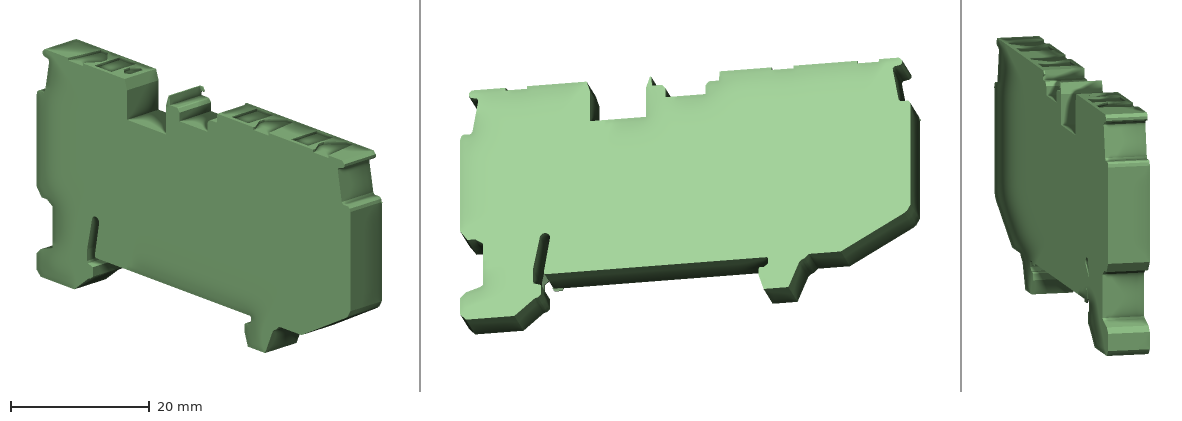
import cadquery as cq
BODY_LENGTH = 66.5
THICKNESS = 6.2
HEIGHT = 35.2
HALF = BODY_LENGTH / 2
FRONT_Y = -THICKNESS / 2
BACK_Y = THICKNESS / 2
SKIN_THICKNESS = 0.2
OVERLAP = 0.2

SHOULDER_Z = 28.5
BASE_Z = 6.05
LEDGE_Z = 33.8
CHANNEL_Z = 31.9
NOTCH_Z = 29.1
LIP_UNDER_Z = 33.55
WAIST_Z = 12.25

LIP_INSET = 1.25
LIP_BEVEL = 0.45
LIP_ROOT_INSET = 2.65
NECK_FOOT_INSET = 1.8
SHOULDER_ROUND_WIDTH = 0.4
SHOULDER_ROUND_DEPTH = 0.7

NOTCH_LEFT = -14.05
NOTCH_RIGHT = -5.8
NOTCH_LEAD_WIDTH = 0.5
NOTCH_LEAD_DEPTH = 1.6
CHANNEL_HALF = 2.9
CHANNEL_BEVEL = 0.6
BEVEL_EASE = 0.2
LEDGE_HALF = 4.9
LEDGE_LEAN = 0.1

SLOT_TOP_LEFT = (-21.5, 11.65)
SLOT_CROWN = (-20.8, 12.4)
SLOT_TOP_RIGHT = (-20.0, 11.65)
SLOT_FOOT_RIGHT = (-20.9, 6.3)
SLOT_FOOT_LEFT = (-22.5, 6.9)
BASE_LEFT = -20.7

STEM_LEFT = -HALF + 3.3
HOOK_TIP = -21.3
HOOK_TOP_Z = 4.65
HOOK_BOTTOM_Z = 3.0
FOOT_BEVEL = 0.85

CLAW_TIP = 10.8
CLAW_BOTTOM_Z = 1.2
CLAW_TOP_Z = 4.6
CLAW_THROAT = 12.2

POCKET_DEPTH = 0.4
SCREW_POCKET_LENGTH = 3.6
SCREW_POCKET_WIDTH = 5.0
SCREW_POCKET_FRONT = FRONT_Y + 0.6
POCKET_GAP = 0.4
POCKET_BACK_MARGIN = 0.5
WIRE_TIPS = [(-22.05, -1), (11.4, 1), (24.05, 1)]


def grip_outline(side):
    """Grip from the top edge down to the side wall; side is -1 left, +1 right."""
    insets = [
        (LIP_INSET + LIP_BEVEL, HEIGHT),
        (LIP_INSET, HEIGHT - LIP_BEVEL),
        (LIP_INSET, 34.35),
        (1.5, 34.1),
        (LIP_ROOT_INSET - 0.2, 33.9),
        (LIP_ROOT_INSET, LIP_UNDER_Z),
        (NECK_FOOT_INSET, SHOULDER_Z + 0.3),
        (NECK_FOOT_INSET - 0.25, SHOULDER_Z),
        (SHOULDER_ROUND_WIDTH, SHOULDER_Z),
        (0.1, SHOULDER_Z - 0.25),
        (0, SHOULDER_Z - SHOULDER_ROUND_DEPTH),
    ]
    return [(side * (HALF - inset), z) for inset, z in insets]


def left_foot_outline():
    """Left wall, stem and hooked foot, ending at the slot."""
    return [
        (-HALF, WAIST_Z + 1.4),
        (-HALF + 1.05, WAIST_Z),
        (-HALF + 2.2, WAIST_Z),
        (STEM_LEFT, WAIST_Z - 0.7),
        (STEM_LEFT, 5.1),
        (STEM_LEFT - 0.4, 4.85),
        (-HALF + 0.8, 4.2),
        (-HALF, 3.4),
        (-HALF, FOOT_BEVEL),
        (-HALF + FOOT_BEVEL, 0),
        (-25.25, 0),
        (-22.25, 2.45),
        (-21.8, 2.6),
        (HOOK_TIP, HOOK_BOTTOM_Z),
        (HOOK_TIP, HOOK_TOP_Z - 0.2),
        (-22.4, HOOK_TOP_Z + 0.1),
        (SLOT_FOOT_LEFT[0], HOOK_TOP_Z + 0.45),
        SLOT_FOOT_LEFT,
        SLOT_TOP_LEFT,
    ]


def right_foot_outline():
    """Underside, right claw and sloped corner, ending at the right wall."""
    return [
        SLOT_FOOT_RIGHT,
        (BASE_LEFT, BASE_Z),
        (CLAW_THROAT - 0.2, BASE_Z),
        (CLAW_THROAT, BASE_Z - 0.2),
        (CLAW_THROAT, CLAW_TOP_Z + 0.5),
        (CLAW_THROAT - 0.6, CLAW_TOP_Z),
        (CLAW_TIP + 0.1, CLAW_TOP_Z),
        (CLAW_TIP, CLAW_TOP_Z - 0.2),
        (CLAW_TIP, 3.4),
        (11.5, CLAW_BOTTOM_Z),
        (15.2, CLAW_BOTTOM_Z),
        (16.8, 4.9),
        (17.1, 5.25),
        (17.6, 5.45),
        (18.2, BASE_Z),
        (22.9, BASE_Z),
        (HALF - 0.9, 11.25),
        (HALF - 0.5, 11.6),
        (HALF, 12.5),
    ]


def top_outline():
    """Top edge from right to left, through the jumper channel and the notch."""
    lead_z = HEIGHT - NOTCH_LEAD_DEPTH
    bevel_z = LEDGE_Z - CHANNEL_BEVEL
    bevel_half = CHANNEL_HALF + CHANNEL_BEVEL
    return [
        (LEDGE_HALF + LEDGE_LEAN, HEIGHT),
        (LEDGE_HALF, LEDGE_Z),
        (bevel_half, LEDGE_Z),
        (bevel_half - BEVEL_EASE, LEDGE_Z - BEVEL_EASE / 2),
        (CHANNEL_HALF, bevel_z),
        (CHANNEL_HALF, CHANNEL_Z),
        (-CHANNEL_HALF, CHANNEL_Z),
        (-CHANNEL_HALF, bevel_z),
        (-bevel_half + BEVEL_EASE, LEDGE_Z - BEVEL_EASE / 2),
        (-bevel_half, LEDGE_Z),
        (-LEDGE_HALF, LEDGE_Z),
        (-LEDGE_HALF - LEDGE_LEAN, HEIGHT),
        (NOTCH_RIGHT + NOTCH_LEAD_WIDTH, HEIGHT),
        (NOTCH_RIGHT, lead_z),
        (NOTCH_RIGHT, NOTCH_Z),
        (NOTCH_LEFT, NOTCH_Z),
        (NOTCH_LEFT, lead_z),
        (NOTCH_LEFT - NOTCH_LEAD_WIDTH, HEIGHT),
    ]


def make_body():
    left_grip = grip_outline(-1)
    sketch = cq.Workplane("XZ", origin=(0, BACK_Y, 0)).polyline(left_grip + left_foot_outline())
    sketch = sketch.threePointArc(SLOT_CROWN, SLOT_TOP_RIGHT)
    remainder = right_foot_outline() + grip_outline(1)[::-1] + top_outline()
    for point in remainder:
        sketch = sketch.lineTo(*point)
    return sketch.close().extrude(THICKNESS)


def skin_tab(points):
    """Flat tab in the thin back layer."""
    return cq.Workplane("XZ", origin=(0, BACK_Y, 0)).polyline(points).close().extrude(SKIN_THICKNESS)


def latch_tab(side):
    """Small downturned latch facing into the jumper channel."""
    reaches = [
        (-OVERLAP, HEIGHT),
        (0.3, HEIGHT),
        (0.65, 34.75),
        (0.6, 34.5),
        (0.2, 34.6),
        (0, 34.3),
        (-OVERLAP, 34.3),
    ]
    return skin_tab([(side * (LEDGE_HALF - reach), z) for reach, z in reaches])


def slot_web():
    """Slanted web across the clamp slot with a strip down its left edge."""
    strip_right = SLOT_FOOT_LEFT[0] + 0.4
    inside_left = SLOT_FOOT_LEFT[0] - OVERLAP
    return skin_tab([
        (-22.0, 9.65),
        (-20.1 + OVERLAP, 11.4),
        (-20.65 + OVERLAP, 8.1),
        (strip_right, 6.7),
        (strip_right, HOOK_TOP_Z),
        (inside_left, HOOK_TOP_Z),
        (inside_left, SLOT_FOOT_LEFT[1]),
    ])


def base_pad(left, right, slope):
    """Low pad under the base with sloped ends."""
    pad_z = BASE_Z - 0.4
    return skin_tab([
        (left, BASE_Z + OVERLAP),
        (left, BASE_Z),
        (left + slope, pad_z),
        (right - slope, pad_z),
        (right, BASE_Z),
        (right, BASE_Z + OVERLAP),
    ])


def end_nub():
    """Tiny nub on the right end wall."""
    wall_top = SHOULDER_Z - SHOULDER_ROUND_DEPTH
    nub_tip = HALF + 0.1
    return skin_tab([
        (HALF - OVERLAP, wall_top + 0.2),
        (nub_tip, wall_top),
        (nub_tip, wall_top - 0.1),
        (HALF - OVERLAP, wall_top - 0.3),
    ])


def pocket(points):
    floor_z = HEIGHT - POCKET_DEPTH
    return cq.Workplane("XY", origin=(0, 0, floor_z)).polyline(points).close().extrude(POCKET_DEPTH)


def wire_entry(tip, direction):
    """Funnel-shaped pocket that opens through the front face."""
    back = BACK_Y - POCKET_BACK_MARGIN
    reaches = [
        (1.3, FRONT_Y),
        (1.3, FRONT_Y + 0.4),
        (0, FRONT_Y + 2.4),
        (0, FRONT_Y + 3.4),
        (0.4, FRONT_Y + 3.9),
        (2.2, back),
        (3.65, back),
        (4.5, FRONT_Y),
    ]
    return pocket([(tip + direction * reach, y) for reach, y in reaches])


def screw_pocket(tip, direction):
    """Rectangular pocket on the pointed side of a wire entry."""
    near = tip - direction * POCKET_GAP
    far = near - direction * SCREW_POCKET_LENGTH
    back = SCREW_POCKET_FRONT + SCREW_POCKET_WIDTH
    return pocket([
        (near, SCREW_POCKET_FRONT),
        (far, SCREW_POCKET_FRONT),
        (far, back),
        (near, back),
    ])


def test_pocket():
    """Six-sided test-probe pocket beside the notch, symmetric in Y."""
    middle_y = FRONT_Y + 3.2
    half_outline = [(-17.6, 0.6), (-16.4, 1.6), (-15.5, 1.25)]
    back_half = [(x, middle_y + reach) for x, reach in half_outline]
    front_half = [(x, middle_y - reach) for x, reach in half_outline]
    return pocket(back_half + front_half[::-1])


result = make_body()

tabs = [
    latch_tab(-1),
    latch_tab(1),
    slot_web(),
    base_pad(-20.9, -19.25, 0.25),
    base_pad(9.4, 11.2, 0.25),
    end_nub(),
]
for tab in tabs:
    result = result.union(tab)

for tip_x, widening in WIRE_TIPS:
    result = result.cut(wire_entry(tip_x, widening))
    result = result.cut(screw_pocket(tip_x, widening))
result = result.cut(test_pocket())